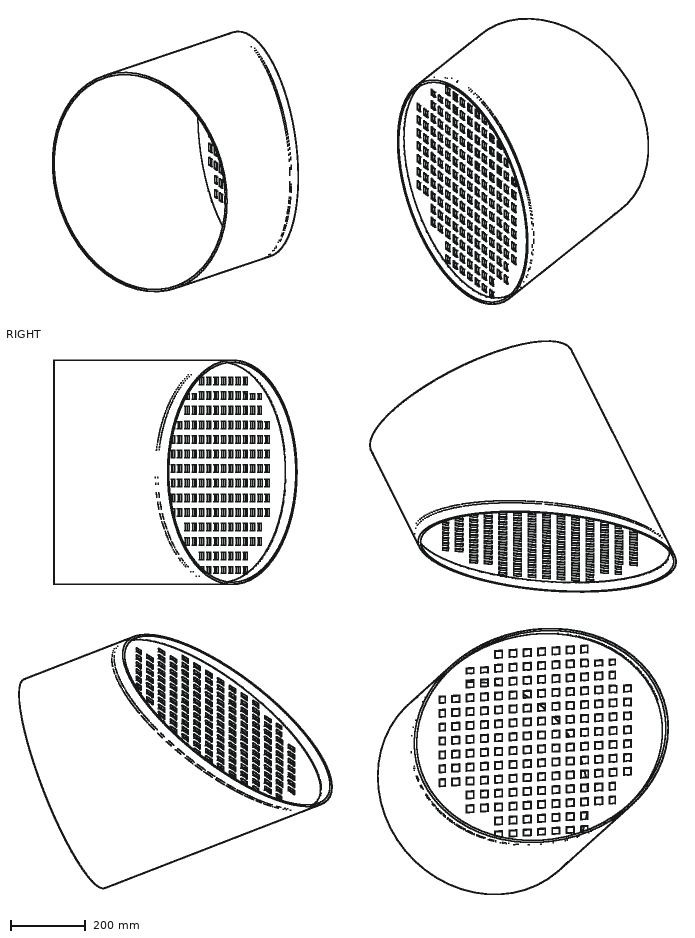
import cadquery as cq
import math

outer_diameter = 600.0
bore_diameter = 588.0
length = 650.0
slant_angle = 30.0

plate_diameter = 594.0
plate_thickness = 6.0
plate_inset = 24.0

hole_size = 20.0
hole_pitch = 39.0
grid_offset_along = -13.0
grid_offset_up = 10.0

grille_windows = [
    (-139.0, 130.0, 270.5),
    (-214.0, 208.0, 210.0),
    (-265.0, 265.0, 135.0),
]

slant_sin = math.sin(math.radians(slant_angle))
slant_cos = math.cos(math.radians(slant_angle))
slant_axis_y = length - outer_diameter / 2 * slant_sin / slant_cos
plate_front_depth = plate_inset + plate_thickness
grid_reach = math.ceil(length / 2 / hole_pitch)
oversize = 2 * length


def slanted_workplane(depth):
    """Plane parallel to the slanted end, at a depth below it, facing the front.

    Its local X runs along the slant and its local Y points up.
    """
    return cq.Workplane(cq.Plane(
        origin=(0, slant_axis_y - depth / slant_cos, 0),
        xDir=(slant_cos, -slant_sin, 0),
        normal=(-slant_sin, -slant_cos, 0),
    ))


def make_rod(diameter):
    """Full-length round rod from the front end (Y = 0) to the back."""
    return cq.Workplane("XZ").circle(diameter / 2).extrude(-length)


def make_plate_blank():
    """Slanted slab trimmed to the round plate outline, without holes."""
    slab = slanted_workplane(plate_front_depth).rect(oversize, oversize).extrude(-plate_thickness)
    return slab.intersect(make_rod(plate_diameter))


def make_tube():
    behind_slant = slanted_workplane(0).rect(oversize, oversize).extrude(-oversize)
    pipe = make_rod(outer_diameter).cut(make_rod(bore_diameter))
    return pipe.cut(behind_slant).cut(make_plate_blank())


def hole_spans(offset, low, high):
    """(centre, width) of each grid hole along one direction, trimmed to low..high."""
    spans = []
    for step in range(-grid_reach, grid_reach + 1):
        middle = offset + step * hole_pitch
        start = max(middle - hole_size / 2, low)
        end = min(middle + hole_size / 2, high)
        if end > start:
            spans.append(((start + end) / 2, end - start))
    return spans


def make_window_holes(left, right, half_height):
    """Cutters for all the holes inside one window."""
    cutters = slanted_workplane(plate_front_depth)
    for x, width in hole_spans(grid_offset_along, left, right):
        for y, height in hole_spans(grid_offset_up, -half_height, half_height):
            cutters = cutters.moveTo(x, y).rect(width, height)
    return cutters.extrude(-plate_thickness)


def make_grille_plate():
    plate = make_plate_blank()
    for left, right, half_height in grille_windows:
        plate = plate.cut(make_window_holes(left, right, half_height))
    return plate


tube = make_tube()
grille_plate = make_grille_plate()

result = cq.Compound.makeCompound([tube.solids().val(), grille_plate.solids().val()])